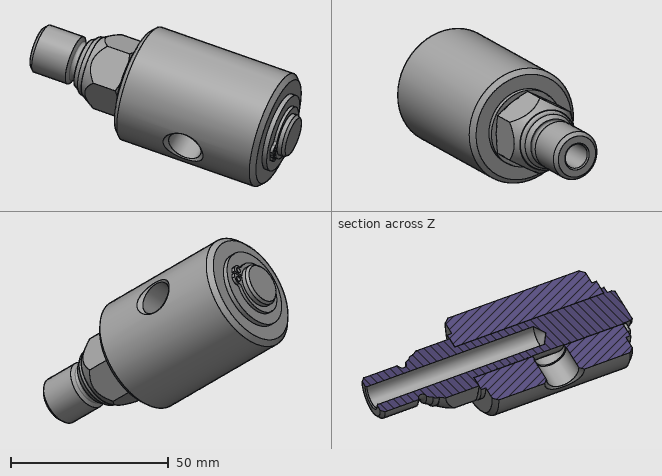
import cadquery as cq
import math

overall_length = 88.8

housing_diameter = 38.0
housing_start = 34.3
housing_end = 83.65
housing_chamfer = 1.6
collar_diameter = 25.4
collar_length = 1.6
bore_diameter = 13.9

port_x = 59.0
port_diameter = 11.3
port_floor_diameter = 10.75
port_depth = 10.7
port_mouth_diameter = 13.9

thread_diameter = 15.9
thread_length = 12.9
thread_chamfer = 1.15
relief_start = 13.7
relief_start_radius = 6.7
relief_floor_x = 14.5
relief_floor_radius = 6.3
relief_end = 15.8
relief_end_radius = 7.55
cone_start_diameter = 15.8

cone_end = 17.6
cone_end_radius = 9.0
shoulder_crest_x = 18.0
shoulder_crest_radius = 9.6
shoulder_end = 19.3
shoulder_end_radius = 9.8

hex_across_flats = 21.9
hex_cone_start_radius = 9.95
hex_chamfer_angle = 30.0
hex_end = housing_start - collar_length

shaft_diameter = bore_diameter
shaft_end_diameter = 12.6
shaft_end_chamfer_length = 1.0

blind_hole_diameter = 8.0
blind_hole_chamfer = 0.4
blind_hole_depth = port_x
drill_point_angle = 118.0

ring_start = housing_end + collar_length
ring_thickness = 1.1
ring_radius = 8.7
ring_offset = 0.6
ring_gap = 0.8
lug_side_z = 3.4
lug_corner_start_y = -8.35
lug_tip_y = -10.3
lug_tip_z = 1.95
lug_root_fillet = 1.2
lug_hole_diameter = 1.7
lug_hole_y = -8.5
lug_hole_z = 1.8

housing_radius = housing_diameter / 2
shaft_radius = shaft_diameter / 2
thread_radius = thread_diameter / 2
hex_flat_radius = hex_across_flats / 2
hex_corner_radius = hex_flat_radius / math.cos(math.pi / 6)
hex_chamfer_slope = math.tan(math.radians(hex_chamfer_angle))


def rod(diameter, start, end):
    """Cylinder along X between two X positions."""
    return cq.Workplane("YZ", origin=(start, 0, 0)).circle(diameter / 2).extrude(end - start)


def revolve_about_x(outline):
    """Solid of revolution about X from a closed outline of (x, radius)."""
    return outline.close().revolve(360, (0, 0, 0), (1, 0, 0))


def make_port():
    """Countersunk radial cutter, narrowing slightly just before it meets the shaft."""
    radius = port_diameter / 2
    mouth_radius = port_mouth_diameter / 2
    floor_radius = port_floor_diameter / 2
    sink_y = mouth_radius - radius - housing_radius
    taper_start_y = port_depth - housing_radius
    taper_end_y = taper_start_y + radius - floor_radius
    return (
        cq.Workplane("XY", origin=(port_x, 0, 0))
        .lineTo(floor_radius, 0)
        .lineTo(floor_radius, taper_end_y)
        .lineTo(radius, taper_start_y)
        .lineTo(radius, sink_y)
        .lineTo(mouth_radius, -housing_radius)
        .lineTo(0, -housing_radius)
        .close()
        .revolve(360, (0, 0, 0), (0, 1, 0))
    )


def make_housing():
    """Chamfered barrel with a collar on each end, a through bore and a radial port."""
    barrel = rod(housing_diameter, housing_start, housing_end).edges().chamfer(housing_chamfer)
    collars = rod(collar_diameter, housing_start - collar_length, housing_end + collar_length)
    bore = rod(bore_diameter, 0, overall_length)
    return barrel.union(collars).cut(bore).cut(make_port())


def make_threaded_end():
    """Thread blank, undercut relief, sealing cone and rounded shoulder up to the hexagon."""
    outline = (
        cq.Workplane("XY")
        .lineTo(0, thread_radius - thread_chamfer)
        .lineTo(thread_chamfer, thread_radius)
        .lineTo(thread_length, thread_radius)
        .lineTo(relief_start, relief_start_radius)
        .threePointArc((relief_floor_x, relief_floor_radius), (relief_end, relief_end_radius))
        .lineTo(relief_end, cone_start_diameter / 2)
        .lineTo(cone_end, cone_end_radius)
        .threePointArc((shoulder_crest_x, shoulder_crest_radius), (shoulder_end, shoulder_end_radius))
        .lineTo(shoulder_end, 0)
    )
    return revolve_about_x(outline)


def make_hexagon():
    """Hexagonal prism with corners on +/-Z, trimmed by a cone at each end."""
    prism = (
        cq.Workplane("YZ", origin=(shoulder_end, 0, 0))
        .polygon(6, 2 * hex_corner_radius)
        .extrude(hex_end - shoulder_end)
        .rotate((0, 0, 0), (1, 0, 0), 90)
    )
    front_length = (hex_corner_radius - hex_cone_start_radius) / hex_chamfer_slope
    back_length = (hex_corner_radius - hex_flat_radius) * hex_chamfer_slope
    cones = (
        cq.Workplane("XY")
        .moveTo(shoulder_end, 0)
        .lineTo(shoulder_end, hex_cone_start_radius)
        .lineTo(shoulder_end + front_length, hex_corner_radius)
        .lineTo(hex_end - back_length, hex_corner_radius)
        .lineTo(hex_end, hex_flat_radius)
        .lineTo(hex_end, 0)
    )
    return prism.intersect(revolve_about_x(cones))


def make_plain_shaft():
    """Round shaft through the housing, tapered at its free end."""
    outline = (
        cq.Workplane("XY")
        .moveTo(hex_end, 0)
        .lineTo(hex_end, shaft_radius)
        .lineTo(overall_length - shaft_end_chamfer_length, shaft_radius)
        .lineTo(overall_length, shaft_end_diameter / 2)
        .lineTo(overall_length, 0)
    )
    return revolve_about_x(outline)


def make_retaining_ring():
    """Eccentric ring, open toward -Y between two rounded lugs with plier holes."""
    plane = cq.Workplane("YZ", origin=(ring_start, 0, 0))
    ring = plane.center(ring_offset, 0).circle(ring_radius).extrude(ring_thickness)
    lug_root_y = ring_offset - math.sqrt(ring_radius**2 - lug_side_z**2)
    for side in (1, -1):
        lug = (
            plane.moveTo(0, 0)
            .lineTo(0, side * lug_side_z)
            .lineTo(lug_corner_start_y, side * lug_side_z)
            .tangentArcPoint((lug_tip_y, side * lug_tip_z), relative=False)
            .lineTo(lug_tip_y, 0)
            .close()
            .extrude(ring_thickness)
        )
        hole = plane.center(lug_hole_y, side * lug_hole_z).circle(lug_hole_diameter / 2)
        root = (ring_start + ring_thickness / 2, lug_root_y, side * lug_side_z)
        ring = ring.union(lug).edges(cq.NearestToPointSelector(root)).fillet(lug_root_fillet)
        ring = ring.cut(hole.extrude(ring_thickness))
    gap = plane.center(lug_tip_y / 2, 0).rect(-lug_tip_y, ring_gap).extrude(ring_thickness)
    return ring.cut(gap)


def make_blind_hole():
    """Drilled cutter with a chamfered mouth and a conical floor."""
    radius = blind_hole_diameter / 2
    point_length = radius / math.tan(math.radians(drill_point_angle / 2))
    outline = (
        cq.Workplane("XY")
        .lineTo(0, radius + blind_hole_chamfer)
        .lineTo(blind_hole_chamfer, radius)
        .lineTo(blind_hole_depth, radius)
        .lineTo(blind_hole_depth + point_length, 0)
    )
    return revolve_about_x(outline)


def make_shaft():
    """Rotating shaft from the threaded end to the retaining ring, as one solid."""
    solid = make_threaded_end().union(make_hexagon())
    solid = solid.union(make_plain_shaft()).union(make_retaining_ring())
    return solid.cut(make_blind_hole())


housing = make_housing()
shaft = make_shaft()

result = cq.Compound.makeCompound([housing.val(), shaft.val()])